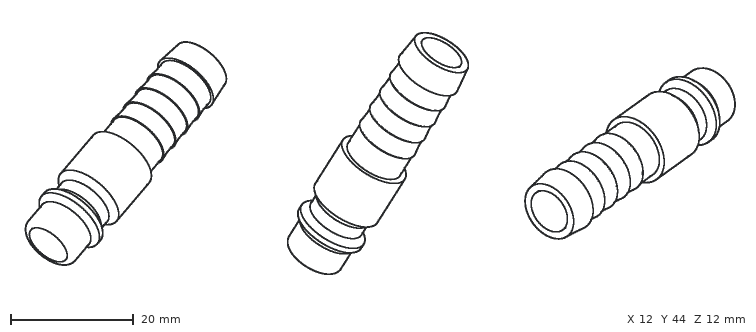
import cadquery as cq

length = 44.0
body_radius = 6.005
stem_radius = 5.0
neck_radius = 4.9
bore_radius = 3.75
tip_fillet = 1.0

rib_start = 4.95
rib_crest_start = 6.05
rib_crest_end = 7.0
rib_end = 8.15

shoulder_start = 10.4
body_start = 11.55
body_end = 21.0

barb_count = 4
barb_radius = 5.25
barb_start = 25.65
barb_pitch = 3.45
barb_length = barb_pitch / 2

end_barb_radius = 5.55
end_barb_start = 39.45


def barb_points(start, end, crest_radius):
    """Outline of one barb: a square step up, then a taper back to the stem."""
    return [(stem_radius, start), (crest_radius, start), (stem_radius, end)]


def outer_body():
    outline = [
        (0, 0),
        (stem_radius, 0),
        (stem_radius, rib_start),
        (body_radius, rib_crest_start),
        (body_radius, rib_crest_end),
        (neck_radius, rib_end),
        (neck_radius, shoulder_start),
        (body_radius, body_start),
        (body_radius, body_end),
        (stem_radius, body_end),
    ]
    for index in range(barb_count):
        start = barb_start + index * barb_pitch
        outline += barb_points(start, start + barb_length, barb_radius)
    outline += barb_points(end_barb_start, length, end_barb_radius)
    outline.append((0, length))
    solid = cq.Workplane("XY").polyline(outline).close().revolve(360, (0, 0), (0, 1))
    return solid.faces("<Y").edges().fillet(tip_fillet)


def bore():
    return cq.Workplane("XZ").circle(bore_radius).extrude(-length)


result = outer_body().cut(bore()).translate((0, -length / 2, 0))